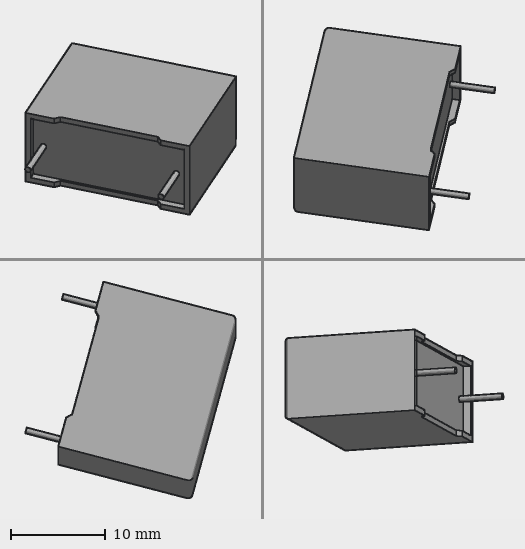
import cadquery as cq

CASE_WIDTH = 18.5
CASE_LENGTH = 14.62
CASE_HEIGHT = 8.7
WALL = 0.61
BACK_EDGE_RADIUS = 0.5

RELIEF_DEPTH = 0.52
RELIEF_FLOOR_WIDTH = 10.97
RELIEF_MOUTH_WIDTH = RELIEF_FLOOR_WIDTH + 2 * RELIEF_DEPTH

FILL_RECESS = 0.8
CAVITY_WIDTH = CASE_WIDTH - 2 * WALL
CAVITY_HEIGHT = CASE_HEIGHT - 2 * WALL
CAVITY_DEPTH = CASE_LENGTH - WALL

OVERALL_LENGTH = 18.6
LEAD_DIAMETER = 0.65
LEAD_PITCH = 15.0
LEAD_LENGTH = OVERALL_LENGTH - CASE_LENGTH + FILL_RECESS


def block_along_y(width, height, start, end):
    """Box centred on the Y axis, reaching from y = start to y = end."""
    return cq.Workplane("XY").box(width, end - start, height).translate((0, (start + end) / 2, 0))


def make_rim_relief():
    """Trapezoidal cutter that passes through the full case height."""
    return (
        cq.Workplane("XY")
        .moveTo(-RELIEF_MOUTH_WIDTH / 2, 0)
        .lineTo(-RELIEF_FLOOR_WIDTH / 2, RELIEF_DEPTH)
        .lineTo(RELIEF_FLOOR_WIDTH / 2, RELIEF_DEPTH)
        .lineTo(RELIEF_MOUTH_WIDTH / 2, 0)
        .close()
        .extrude(CASE_HEIGHT / 2, both=True)
    )


def make_case():
    """Open box with rounded back edges and a relieved rim at y = 0."""
    shell = block_along_y(CASE_WIDTH, CASE_HEIGHT, 0, CASE_LENGTH)
    shell = shell.faces(">Y").edges().fillet(BACK_EDGE_RADIUS)
    cavity = block_along_y(CAVITY_WIDTH, CAVITY_HEIGHT, 0, CAVITY_DEPTH)
    return shell.cut(cavity).cut(make_rim_relief())


def make_potting():
    """Compound filling the cavity from its back up to the recessed face."""
    return block_along_y(CAVITY_WIDTH, CAVITY_HEIGHT, FILL_RECESS, CAVITY_DEPTH)


def make_lead(x):
    """Straight lead running toward -Y from the potting face."""
    return (
        cq.Workplane("XZ", origin=(x, FILL_RECESS, 0))
        .circle(LEAD_DIAMETER / 2)
        .extrude(LEAD_LENGTH)
    )


case = make_case()
potting = make_potting()
leads = [make_lead(side * LEAD_PITCH / 2) for side in (-1, 1)]

result = cq.Compound.makeCompound([case.val(), potting.val(), *[lead.val() for lead in leads]])